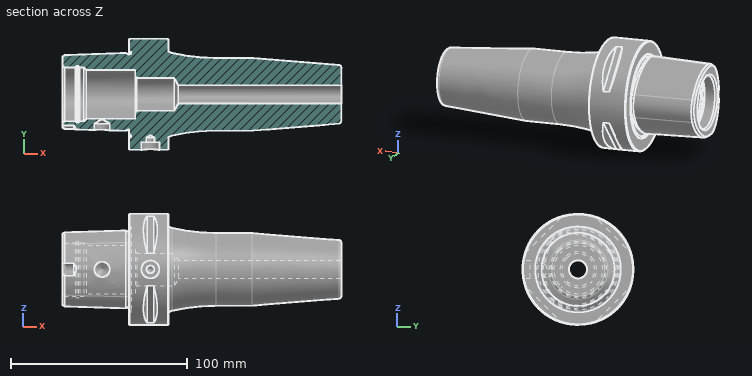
import math

import cadquery as cq


LENGTH = 158.0
FLANGE_START = 37.6
FLANGE_END = 60.0
SHANK_END = FLANGE_START - 1.7
NECK_CYLINDER_START = 86.7
TAPER_START = 107.1

TIP_RADIUS = 21.0
TIP_LOBE = 1.3
ROOT_RADIUS = 22.1
ROOT_LOBE = 1.5
TIP_CHAMFER_LENGTH = 1.5
TIP_CHAMFER_INSET = 0.8
ROOT_CHAMFER_INSET = 1.0
LOBE_HALF_ANGLE = 28.0
LOBE_PITCH = 120.0
SPLINE_SPANS = 6

FLANGE_RADIUS = 63.0 / 2
FLANGE_CHAMFER = 0.5
RELIEF_INNER_RADIUS = 22.8
RELIEF_FILLET = 1.35
RELIEF_OUTER_RADIUS = RELIEF_INNER_RADIUS + RELIEF_FILLET

COLLAR_END = FLANGE_END + 1.9
COLLAR_START_RADIUS = 24.3
COLLAR_END_RADIUS = 23.5
BODY_RADIUS = 20.7
NOSE_RADIUS = 16.6
NOSE_ROUND = 1.7

BORE_MOUTH_RADIUS = 16.0
BORE_RADIUS = 15.2
BORE_MOUTH_CHAMFER = 1.3
GROOVE_START = 7.3
GROOVE_END = 9.8
GROOVE_DEPTH = 0.8
BORE_CONE_START = 12.2
INNER_BORE_RADIUS = 13.7
BORE_CONE_END = 13.6
SHOULDER_X = 41.1
THREAD_MOUTH_RADIUS = 10.3
THREAD_RADIUS = 9.2
THREAD_END = 63.2
THROUGH_RADIUS = 5.0

SLOT_X = 49.8
SLOT_FLOOR_DISTANCE = 27.8
SLOT_FLOOR_WIDTH = 3.6
SLOT_FLANK_ANGLE = 30.0

DRILL_POINT_HALF_ANGLE = 59.0
SHANK_HOLE_X = 22.5
SHANK_HOLE_RADIUS = 8.7 / 2
SHANK_HOLE_BOTTOM = 16.6
KEYWAY_RADIUS = 4.1
KEYWAY_AXIS = 21.8
KEYWAY_LENGTH = 6.5
FLANGE_HOLE_RADIUS = 5.0
FLANGE_HOLE_BOTTOM = 27.2
PILOT_RADIUS = 2.2
PILOT_BOTTOM = 24.5

AXIS_START = (0, 0, 0)
AXIS_END = (1, 0, 0)


def drill_point_height(radius):
    return radius / math.tan(math.radians(DRILL_POINT_HALF_ANGLE))


def lobed_wire(x, radius, lobe):
    """Constant-width three-lobed outline with one lobe on +Y, split beside each lobe."""
    def point(degrees):
        t = math.radians(degrees)
        support = radius + lobe * math.cos(3 * t)
        slope = -3 * lobe * math.sin(3 * t)
        y = support * math.cos(t) - slope * math.sin(t)
        z = support * math.sin(t) + slope * math.cos(t)
        return cq.Vector(x, y, z)

    edges = []
    for lobe_index in range(3):
        lobe_angle = lobe_index * LOBE_PITCH
        lobe_start = lobe_angle - LOBE_HALF_ANGLE
        lobe_end = lobe_angle + LOBE_HALF_ANGLE
        for start, end in ((lobe_start, lobe_end), (lobe_end, lobe_start + LOBE_PITCH)):
            step = (end - start) / SPLINE_SPANS
            points = [point(start + step * i) for i in range(SPLINE_SPANS + 1)]
            edges.append(cq.Edge.makeSpline(points))
    return cq.Wire.assembleEdges(edges)


def revolve_about_x(outline):
    return outline.close().revolve(360, AXIS_START, AXIS_END)


def make_shank():
    growth = TIP_CHAMFER_LENGTH / SHANK_END
    chamfer_radius = TIP_RADIUS + growth * (ROOT_RADIUS - TIP_RADIUS)
    chamfer_lobe = TIP_LOBE + growth * (ROOT_LOBE - TIP_LOBE)
    sections = [
        lobed_wire(0, TIP_RADIUS - TIP_CHAMFER_INSET, TIP_LOBE),
        lobed_wire(TIP_CHAMFER_LENGTH, chamfer_radius, chamfer_lobe),
        lobed_wire(SHANK_END, ROOT_RADIUS, ROOT_LOBE),
        lobed_wire(FLANGE_START, ROOT_RADIUS - ROOT_CHAMFER_INSET, ROOT_LOBE),
    ]
    return cq.Workplane(cq.Solid.makeLoft(sections, True))


def make_flange():
    flange = (
        cq.Workplane("YZ", origin=(FLANGE_START, 0, 0))
        .circle(FLANGE_RADIUS)
        .extrude(FLANGE_END - FLANGE_START)
        .edges()
        .chamfer(FLANGE_CHAMFER)
    )
    bow = RELIEF_FILLET * (1 - math.sqrt(0.5))
    relief = revolve_about_x(
        cq.Workplane("XY")
        .moveTo(FLANGE_START, RELIEF_INNER_RADIUS)
        .threePointArc(
            (FLANGE_START + RELIEF_FILLET - bow, RELIEF_INNER_RADIUS + bow),
            (FLANGE_START + RELIEF_FILLET, RELIEF_OUTER_RADIUS),
        )
        .lineTo(FLANGE_START, RELIEF_OUTER_RADIUS)
    )
    return flange.cut(relief)


def make_body():
    run = NECK_CYLINDER_START - COLLAR_END
    rise = COLLAR_END_RADIUS - BODY_RADIUS
    flare_radius = (run**2 + rise**2) / (2 * rise)
    half_turn = math.asin(run / flare_radius) / 2
    mid_x = NECK_CYLINDER_START - flare_radius * math.sin(half_turn)
    mid_r = BODY_RADIUS + flare_radius * (1 - math.cos(half_turn))
    body = revolve_about_x(
        cq.Workplane("XY")
        .moveTo(FLANGE_END, 0)
        .lineTo(FLANGE_END, COLLAR_START_RADIUS)
        .lineTo(COLLAR_END, COLLAR_END_RADIUS)
        .threePointArc((mid_x, mid_r), (NECK_CYLINDER_START, BODY_RADIUS))
        .lineTo(TAPER_START, BODY_RADIUS)
        .lineTo(LENGTH, NOSE_RADIUS)
        .lineTo(LENGTH, 0)
    )
    return body.faces(">X").edges().fillet(NOSE_ROUND)


def make_bore():
    groove_radius = BORE_RADIUS + GROOVE_DEPTH
    return revolve_about_x(
        cq.Workplane("XY")
        .moveTo(0, 0)
        .lineTo(0, BORE_MOUTH_RADIUS)
        .lineTo(BORE_MOUTH_CHAMFER, BORE_RADIUS)
        .lineTo(GROOVE_START, BORE_RADIUS)
        .lineTo(GROOVE_START + GROOVE_DEPTH, groove_radius)
        .lineTo(GROOVE_END - GROOVE_DEPTH, groove_radius)
        .lineTo(GROOVE_END, BORE_RADIUS)
        .lineTo(BORE_CONE_START, BORE_RADIUS)
        .lineTo(BORE_CONE_END, INNER_BORE_RADIUS)
        .lineTo(SHOULDER_X, INNER_BORE_RADIUS)
        .lineTo(SHOULDER_X, THREAD_MOUTH_RADIUS)
        .lineTo(SHOULDER_X + THREAD_MOUTH_RADIUS - THREAD_RADIUS, THREAD_RADIUS)
        .lineTo(THREAD_END, THREAD_RADIUS)
        .lineTo(THREAD_END + drill_point_height(THREAD_RADIUS - THROUGH_RADIUS), THROUGH_RADIUS)
        .lineTo(LENGTH, THROUGH_RADIUS)
        .lineTo(LENGTH, 0)
    )


def make_slot(angle):
    """Slot cutter whose floor faces outward at the given angle from +Y."""
    depth = FLANGE_RADIUS - SLOT_FLOOR_DISTANCE
    half_floor = SLOT_FLOOR_WIDTH / 2
    half_top = half_floor + depth * math.tan(math.radians(SLOT_FLANK_ANGLE))
    return (
        cq.Workplane("XY")
        .moveTo(SLOT_X - half_floor, SLOT_FLOOR_DISTANCE)
        .lineTo(SLOT_X + half_floor, SLOT_FLOOR_DISTANCE)
        .lineTo(SLOT_X + half_top, FLANGE_RADIUS)
        .lineTo(SLOT_X - half_top, FLANGE_RADIUS)
        .close()
        .extrude(FLANGE_RADIUS, both=True)
        .rotate(AXIS_START, AXIS_END, angle)
    )


def drill(base, direction, radius, depth):
    """Drill cutter of the given full-diameter depth, with a conical point."""
    point = cq.Solid.makeCone(radius, 0, drill_point_height(radius), base + direction * depth, direction)
    return cq.Workplane(cq.Solid.makeCylinder(radius, depth, base, direction)).union(cq.Workplane(point))


def side_drill(x, radius, bottom):
    """Radial drill from the -Y side, down to the given distance from the axis."""
    return drill(cq.Vector(x, -FLANGE_RADIUS, 0), cq.Vector(0, 1, 0), radius, FLANGE_RADIUS - bottom)


def make_keyway():
    """Round-bottomed driving groove drilled along X into the shank tip."""
    return drill(cq.Vector(0, -KEYWAY_AXIS, 0), cq.Vector(1, 0, 0), KEYWAY_RADIUS, KEYWAY_LENGTH)


def make_flange_hole():
    """Flat-bottomed radial hole with a smaller drilled pilot."""
    hole = (
        cq.Workplane("XZ", origin=(SLOT_X, -FLANGE_HOLE_BOTTOM, 0))
        .circle(FLANGE_HOLE_RADIUS)
        .extrude(FLANGE_RADIUS - FLANGE_HOLE_BOTTOM)
    )
    return hole.union(side_drill(SLOT_X, PILOT_RADIUS, PILOT_BOTTOM))


result = make_shank().union(make_flange()).union(make_body()).cut(make_bore())
for slot_angle in (45, 135, 225, 315):
    result = result.cut(make_slot(slot_angle))
result = result.cut(make_keyway())
result = result.cut(side_drill(SHANK_HOLE_X, SHANK_HOLE_RADIUS, SHANK_HOLE_BOTTOM))
result = result.cut(make_flange_hole())